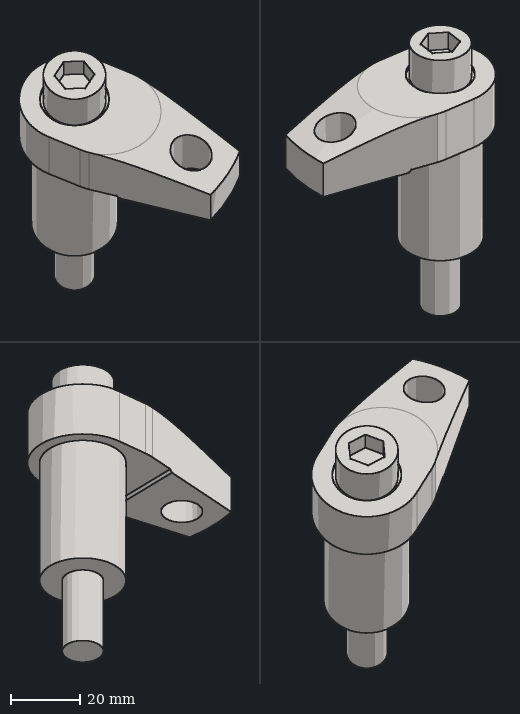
import cadquery as cq
import math


overall_height = 92.0
screw_diameter = 12.0
head_diameter = 18.0
head_height = 12.0
hex_across_flats = 10.0
hex_depth = 6.0

screw_protrusion = 24.0
sleeve_diameter = 25.0
sleeve_length = 40.0
arm_thickness = 17.0
arm_radius = 16.0
waist_x = 10.0
taper_angle = 10.3
tip_radius = 50.0
top_slope_angle = 14.0
counterbore_diameter = 20.0
nose_hole_x = 38.0
nose_hole_diameter = 12.0
pad_depth = 0.8
pad_start_x = 21.1

sleeve_bottom = screw_protrusion
arm_bottom = sleeve_bottom + sleeve_length
arm_top = arm_bottom + arm_thickness
pad_bottom = arm_bottom - pad_depth
head_bottom = overall_height - head_height


def make_arm_prism():
    """Plan outline of the arm, extruded from the pad bottom to the arm top."""
    taper = math.radians(taper_angle)
    blend_mid_x = waist_x + arm_radius * math.sin(taper / 2)
    blend_mid_y = arm_radius * math.cos(taper / 2)
    taper_x = waist_x + arm_radius * math.sin(taper)
    taper_y = arm_radius * math.cos(taper)

    side_distance = arm_radius + waist_x * math.sin(taper)
    side_normal_angle = math.pi / 2 - taper
    corner_angle = side_normal_angle - math.acos(side_distance / tip_radius)
    corner_x = tip_radius * math.cos(corner_angle)
    corner_y = tip_radius * math.sin(corner_angle)

    return (
        cq.Workplane("XY", origin=(0, 0, pad_bottom))
        .moveTo(0, arm_radius)
        .lineTo(waist_x, arm_radius)
        .threePointArc((blend_mid_x, blend_mid_y), (taper_x, taper_y))
        .lineTo(corner_x, corner_y)
        .threePointArc((tip_radius, 0), (corner_x, -corner_y))
        .lineTo(taper_x, -taper_y)
        .threePointArc((blend_mid_x, -blend_mid_y), (waist_x, -arm_radius))
        .lineTo(0, -arm_radius)
        .threePointArc((-arm_radius, 0), (0, arm_radius))
        .close()
        .extrude(arm_top - pad_bottom)
    )


def make_pad_relief():
    """Material below the arm behind the pad, ending in a 45 degree step."""
    return (
        cq.Workplane("XZ")
        .moveTo(-arm_radius, pad_bottom)
        .lineTo(pad_start_x + pad_depth, pad_bottom)
        .lineTo(pad_start_x, arm_bottom)
        .lineTo(-arm_radius, arm_bottom)
        .close()
        .extrude(arm_radius, both=True)
    )


def make_top_slope():
    """Half ring above the conical top of the nose, limited to the side in front of the waist."""
    outer_radius = tip_radius
    half_turn = 180
    half_turn_start = -90
    drop = (outer_radius - arm_radius) * math.tan(math.radians(top_slope_angle))
    return (
        cq.Workplane("XZ", origin=(waist_x, 0, 0))
        .moveTo(arm_radius, arm_top)
        .lineTo(outer_radius, arm_top)
        .lineTo(outer_radius, arm_top - drop)
        .close()
        .revolve(half_turn, (0, 0, 0), (0, 1, 0))
        .rotate((waist_x, 0, 0), (waist_x, 0, 1), half_turn_start)
    )


def make_hook_clamp():
    """Arm and sleeve in one piece, bored for the screw."""
    arm = make_arm_prism().cut(make_pad_relief()).cut(make_top_slope())
    sleeve = (
        cq.Workplane("XY", origin=(0, 0, sleeve_bottom))
        .circle(sleeve_diameter / 2)
        .extrude(sleeve_length)
    )
    screw_bore = (
        cq.Workplane("XY", origin=(0, 0, sleeve_bottom))
        .circle(screw_diameter / 2)
        .extrude(arm_top - sleeve_bottom)
    )
    counterbore = (
        cq.Workplane("XY", origin=(0, 0, head_bottom))
        .circle(counterbore_diameter / 2)
        .extrude(arm_top - head_bottom)
    )
    nose_hole = (
        cq.Workplane("XY", origin=(nose_hole_x, 0, pad_bottom))
        .circle(nose_hole_diameter / 2)
        .extrude(arm_top - pad_bottom)
    )
    return arm.union(sleeve).cut(screw_bore).cut(counterbore).cut(nose_hole)


def make_screw():
    """Socket head cap screw with two of its hex corners on the Y axis."""
    shank = cq.Workplane("XY").circle(screw_diameter / 2).extrude(head_bottom)
    head = (
        cq.Workplane("XY", origin=(0, 0, head_bottom))
        .circle(head_diameter / 2)
        .extrude(head_height)
    )
    hex_sides = 6
    hex_corner_diameter = hex_across_flats / math.cos(math.pi / hex_sides)
    corner_turn = 30
    hex_socket = (
        cq.Workplane("XY", origin=(0, 0, overall_height))
        .polygon(hex_sides, hex_corner_diameter)
        .extrude(-hex_depth)
        .rotate((0, 0, 0), (0, 0, 1), corner_turn)
    )
    return shank.union(head).cut(hex_socket)


hook_clamp = make_hook_clamp()
screw = make_screw()

result = cq.Compound.makeCompound([hook_clamp.val(), screw.val()])